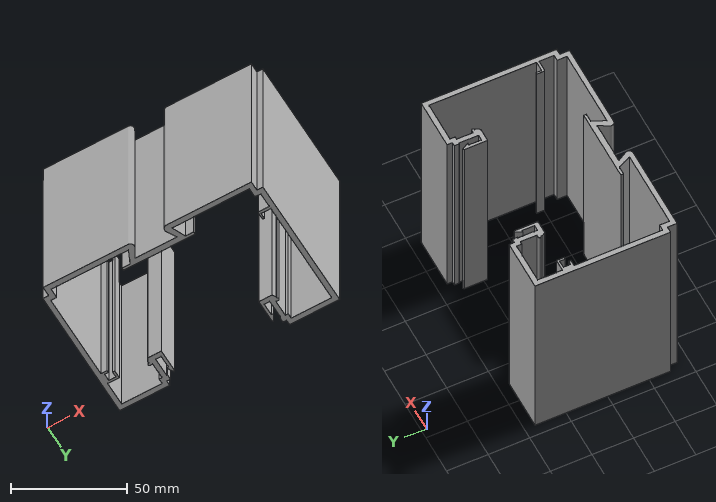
import cadquery as cq
import math

width = 110.0
depth = 70.0
length = 100.0
half_width = width / 2
wall = 2.5

corner_step = 3.0
corner_shoulder = 4.7
flange_edge = 29.9
flange_step_edge = 28.0
flange_jog = 32.2
flange_step_drop = 2.5
stem_inner = 28.5
stem_outer = stem_inner + 2.3

lip_floor = depth - 14.4
lip_bottom = depth - 16.7
hook_inner = 24.3
hook_thickness = 1.4
hook_tip = depth - 5.0
tip_bevel = 0.5
barb_height = depth - 8.4
barb_reach = 1.0
foot_top = depth - 13.0
foot_reach = 1.9
bead_radius = 0.7
foot_side_height = 2.2
foot_bevel = 1.8

web_angle = math.radians(60)
web_base = 6.2
nose_radius = 2.0
rail_top = 10.2
rail_bottom = 8.9
rail_half_width = 17.9
groove_depth = 7.5
web_back_base = 10.9
web_back_end = 13.9

clip_thickness = 1.1
left_arm_top = depth - 14.4
left_arm_reach = 8.4
left_arm_drop = 3.8
left_pad_reach = 3.7
left_pad_bottom = depth - 20.1
left_lip_reach = 5.6
right_arm_bottom = 14.4
right_arm_thickness = 1.3
right_arm_reach = 8.2
right_arm_height = 4.1
right_tongue_thickness = 0.9
right_elbow_radius = 0.7


def prism(points):
    return cq.Workplane("XY").polyline(points).close().extrude(length)


def bar(x_start, x_end, y_start, y_end):
    return cq.Workplane("XY").box(
        x_end - x_start, y_end - y_start, length, centered=False
    ).translate((x_start, y_start, 0))


def side_shell():
    """Side wall with its stepped rear corner, front flange and stem (+X half)."""
    inner_wall = half_width - wall
    inner_step = half_width - corner_step
    front_inside = depth - wall
    jog_bottom = depth - flange_step_drop - wall
    corner_inner = inner_step - wall
    return prism([
        (corner_inner, 0),
        (inner_step, 0),
        (inner_step, corner_shoulder),
        (half_width, corner_shoulder),
        (half_width, depth),
        (flange_edge, depth),
        (flange_edge, depth - flange_step_drop),
        (flange_step_edge, depth - flange_step_drop),
        (flange_step_edge, jog_bottom),
        (stem_inner, jog_bottom),
        (stem_inner, lip_bottom),
        (stem_outer, lip_bottom),
        (stem_outer, jog_bottom),
        (flange_jog, jog_bottom),
        (flange_jog, front_inside),
        (inner_wall, front_inside),
        (inner_wall, corner_shoulder + wall),
        (corner_inner, corner_shoulder + wall),
    ])


def flange_hook():
    """Channel floor, barbed hook and beaded, bevelled foot at the end of the stem."""
    hook_outer = hook_inner + hook_thickness
    foot_outer = stem_outer + foot_reach
    bead_center = foot_outer - bead_radius
    hook = prism([
        (hook_inner, lip_bottom),
        (foot_outer - foot_bevel, lip_bottom),
        (bead_center, foot_top - foot_side_height),
        (bead_center, foot_top),
        (stem_inner, foot_top),
        (stem_inner, lip_floor),
        (hook_outer, lip_floor),
        (hook_outer, barb_height),
        (hook_outer + barb_reach, barb_height),
        (hook_inner + tip_bevel, hook_tip),
        (hook_inner, hook_tip - tip_bevel),
    ])
    bead = (
        cq.Workplane("XY")
        .center(bead_center, foot_top - bead_radius)
        .circle(bead_radius)
        .extrude(length)
    )
    return hook.union(bead)


def rear_wall():
    """Rear wall, rounded nose, slanted web and half of the rail (+X half)."""
    run_per_height = 1 / math.tan(web_angle)
    corner_end = half_width - corner_step
    nose_center = web_base + nose_radius / math.tan(web_angle / 2)
    tangent_x = nose_center - nose_radius * math.sin(web_angle)
    tangent_y = nose_radius * (1 + math.cos(web_angle))
    return (
        cq.Workplane("XY")
        .moveTo(corner_end, 0)
        .lineTo(nose_center, 0)
        .threePointArc((nose_center - nose_radius, nose_radius), (tangent_x, tangent_y))
        .lineTo(web_base + groove_depth * run_per_height, groove_depth)
        .lineTo(0, groove_depth)
        .lineTo(0, rail_top)
        .lineTo(rail_half_width, rail_top)
        .lineTo(rail_half_width, rail_bottom)
        .lineTo(web_back_end, rail_bottom)
        .lineTo(web_back_base, wall)
        .lineTo(corner_end, wall)
        .close()
        .extrude(length)
    )


def left_clip():
    """Downturned arm above a pad with a short lip, on the -X wall."""
    arm_end = left_arm_reach - half_width
    pad_end = left_pad_reach - half_width
    lip_end = left_lip_reach - half_width
    arm = bar(-half_width, arm_end, left_arm_top - clip_thickness, left_arm_top)
    tongue = bar(arm_end - clip_thickness, arm_end, left_arm_top - left_arm_drop, left_arm_top)
    pad = bar(-half_width, pad_end, left_pad_bottom, left_arm_top)
    lip = bar(-half_width, lip_end, left_pad_bottom, left_pad_bottom + clip_thickness)
    return arm.union(tongue).union(pad).union(lip)


def right_clip():
    """Upturned arm with a rounded elbow on the +X wall."""
    arm_end = half_width - right_arm_reach
    arm = bar(arm_end, half_width, right_arm_bottom, right_arm_bottom + right_arm_thickness)
    tongue_end = arm_end + right_tongue_thickness
    tongue = bar(arm_end, tongue_end, right_arm_bottom, right_arm_bottom + right_arm_height)
    elbow = cq.selectors.NearestToPointSelector((arm_end, right_arm_bottom, length / 2))
    return arm.union(tongue).edges("|Z").edges(elbow).fillet(right_elbow_radius)


half_profile = side_shell().union(flange_hook()).union(rear_wall())
profile = half_profile.union(half_profile.mirror("YZ"))
result = profile.union(left_clip()).union(right_clip()).clean()